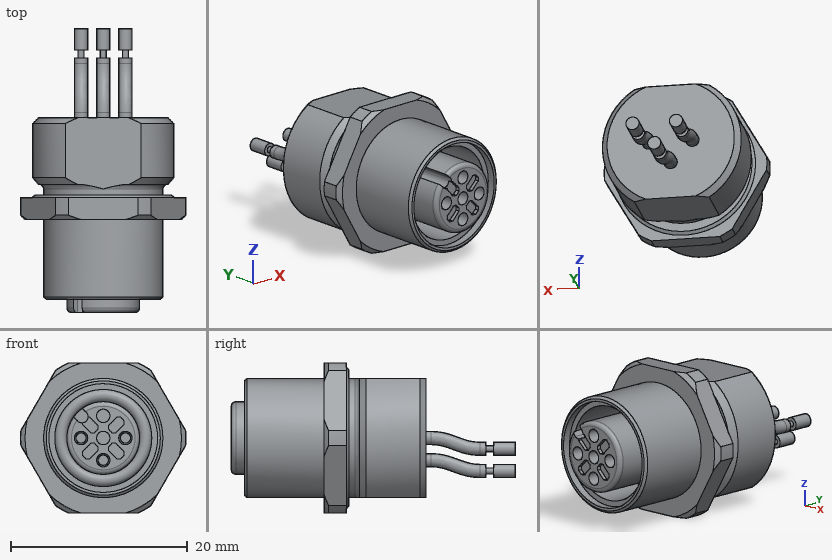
import cadquery as cq
import math


sleeve_front = 1.48
nut_front = 10.5
nut_back = 13.02
washer_back = 13.3
body_front = 14.0
body_back = 22.05
overall_length = 32.15

sleeve_diameter = 13.5
sleeve_chamfer = 0.3
mouth_diameter = 12.3
mouth_depth = 1.0
bore_diameter = 11.0
seal_crest = 8.68

insert_diameter = 8.23
insert_rounding = 0.5
pin_hole_diameter = 1.5
pin_circle_radius = 2.5
pin_hole_depth = 5.15
contact_bore_diameter = 1.15
contact_start = 2.9
contact_taper = 0.5
keyway_width = 1.38
keyway_radius = 3.4
pocket_width = 1.15
pocket_inner_radius = 1.13
pocket_outer_radius = 3.05
pocket_chamfer = 0.3
pocket_depth = 0.48

nut_across_flats = 17.0
nut_corner_diameter = 18.75
nut_chamfer = 0.5
washer_diameter = 16.15
washer_back_diameter = 15.43

body_diameter = 16.0
body_flat_distance = sleeve_diameter
body_back_chamfer = 0.68
body_front_cone_length = 0.77
body_front_diameter = 14.7
neck_fillet = 0.5

wire_diameter = 1.5
wire_core_diameter = 0.7
wire_drop = 1.22
wire_bend_start = 22.63
wire_bend_end = 28.15
wire_stripped_start = 28.85
wire_tip_start = 29.7

wired_positions = [(-pin_circle_radius, 0), (pin_circle_radius, 0), (0, -pin_circle_radius)]
open_positions = [(0, 0), (0, pin_circle_radius)]


def section_at(y):
    """Sketch plane across the axis, with X to the right and Z up."""
    return cq.Workplane("XZ", origin=(0, y, 0))


def rod(x, z, diameter, start, end):
    """Round bar along Y."""
    return section_at(start).center(x, z).circle(diameter / 2).extrude(start - end)


def cone(x, z, start_diameter, end_diameter, start, end):
    """Truncated cone along Y."""
    solid = cq.Solid.makeCone(
        start_diameter / 2, end_diameter / 2, end - start, cq.Vector(x, start, z), cq.Vector(0, 1, 0)
    )
    return cq.Workplane(solid)


def make_turned_body():
    """Insert, O-ring, sleeve and rear body, turned as one profile of (radius, Y)."""
    insert_radius = insert_diameter / 2
    sleeve_radius = sleeve_diameter / 2
    body_radius = body_diameter / 2
    bore_radius = bore_diameter / 2
    mouth_radius = mouth_diameter / 2
    seal_radius = (bore_radius - insert_radius) / 2
    seal_middle = seal_crest + seal_radius
    rounding_mid = insert_rounding * (1 - math.sqrt(0.5))
    neck_mid = neck_fillet * (1 - math.sqrt(0.5))
    neck_end = body_front + neck_fillet

    profile = (
        cq.Workplane("XY")
        .moveTo(0, 0)
        .lineTo(insert_radius - insert_rounding, 0)
        .threePointArc((insert_radius - rounding_mid, rounding_mid), (insert_radius, insert_rounding))
        .lineTo(insert_radius, seal_middle)
        .threePointArc((insert_radius + seal_radius, seal_crest), (bore_radius, seal_middle))
        .lineTo(bore_radius, sleeve_front + mouth_depth)
        .lineTo(mouth_radius, sleeve_front + mouth_depth)
        .lineTo(mouth_radius, sleeve_front)
        .lineTo(sleeve_radius - sleeve_chamfer, sleeve_front)
        .lineTo(sleeve_radius, sleeve_front + sleeve_chamfer)
        .lineTo(sleeve_radius, body_front)
        .threePointArc(
            (sleeve_radius + neck_mid, neck_end - neck_mid), (sleeve_radius + neck_fillet, neck_end)
        )
        .lineTo(body_front_diameter / 2, neck_end)
        .lineTo(body_radius, neck_end + body_front_cone_length)
        .lineTo(body_radius, body_back - body_back_chamfer)
        .lineTo(body_radius - body_back_chamfer, body_back)
        .lineTo(0, body_back)
        .close()
    )
    return profile.revolve(360, (0, 0, 0), (0, 1, 0))


def cut_body_flats(body):
    """Two flats on the rear body, above and below the axis."""
    length = body_back - body_front
    cut_height = body_diameter / 2
    for side in (1, -1):
        block = cq.Workplane("XY").box(body_diameter, length, cut_height).translate(
            (0, body_front + length / 2, side * (body_flat_distance + cut_height) / 2)
        )
        body = body.cut(block)
    return body


def make_nut():
    """Hexagon with turned corners, chamfered at the front, with a washer face behind."""
    thickness = nut_back - nut_front
    across_corners = nut_across_flats / math.cos(math.radians(30))
    hexagon = section_at(nut_front).polygon(6, across_corners).extrude(-thickness)
    envelope = rod(0, 0, nut_corner_diameter, nut_front, nut_back).faces("<Y").chamfer(nut_chamfer)
    washer = cone(0, 0, washer_diameter, washer_back_diameter, nut_back, washer_back)
    nut = hexagon.intersect(envelope).union(washer)
    return nut.cut(rod(0, 0, bore_diameter, nut_front, washer_back))


def make_keyway():
    """Round-floored groove along the insert, open outward on its upper left."""
    groove = rod(-keyway_radius, 0, keyway_width, 0, seal_crest)
    opening_length = insert_diameter / 2 - keyway_radius
    opening = section_at(0).center(-keyway_radius - opening_length / 2, 0)
    groove = groove.union(opening.rect(opening_length, keyway_width).extrude(-seal_crest))
    return groove.rotate((0, 0, 0), (0, 1, 0), 45)


def make_wired_hole(x, z):
    """Pin hole that tapers into the bore of its contact."""
    taper_end = contact_start + contact_taper
    return (
        rod(x, z, pin_hole_diameter, 0, contact_start)
        .union(cone(x, z, pin_hole_diameter, contact_bore_diameter, contact_start, taper_end))
        .union(rod(x, z, contact_bore_diameter, taper_end, pin_hole_depth))
    )


def make_pockets():
    """Four shallow chamfered pockets on the diagonals of the mating face."""
    length = pocket_outer_radius - pocket_inner_radius
    middle = (pocket_outer_radius + pocket_inner_radius) / 2
    pocket = section_at(0).center(middle, 0).rect(length, pocket_width).extrude(-pocket_depth)
    pocket = pocket.edges("|Y").chamfer(pocket_chamfer)
    pockets = cq.Workplane("XZ")
    for angle in (45, 135, 225, 315):
        pockets = pockets.add(pocket.rotate((0, 0, 0), (0, 1, 0), angle))
    return pockets.combine()


def make_wire(x, z):
    """Insulated wire that bends down to a stripped neck and a separate insulated tip."""
    end_z = z - wire_drop
    path = cq.Workplane("YZ", origin=(x, 0, 0)).moveTo(wire_bend_start, z).spline(
        [(wire_bend_end, end_z)], tangents=[(1, 0), (1, 0)], includeCurrent=True
    )
    bend = section_at(wire_bend_start).center(x, z).circle(wire_diameter / 2).sweep(path)
    return (
        rod(x, z, wire_diameter, body_back - body_back_chamfer, wire_bend_start)
        .union(bend)
        .union(rod(x, end_z, wire_diameter, wire_bend_end, wire_stripped_start))
        .union(rod(x, end_z, wire_core_diameter, wire_stripped_start, wire_tip_start))
        .union(rod(x, end_z, wire_diameter, wire_tip_start, overall_length))
    )


result = cut_body_flats(make_turned_body()).union(make_nut())
result = result.cut(make_keyway()).cut(make_pockets())
for x, z in open_positions:
    result = result.cut(rod(x, z, pin_hole_diameter, 0, pin_hole_depth))
for x, z in wired_positions:
    result = result.cut(make_wired_hole(x, z)).union(make_wire(x, z))